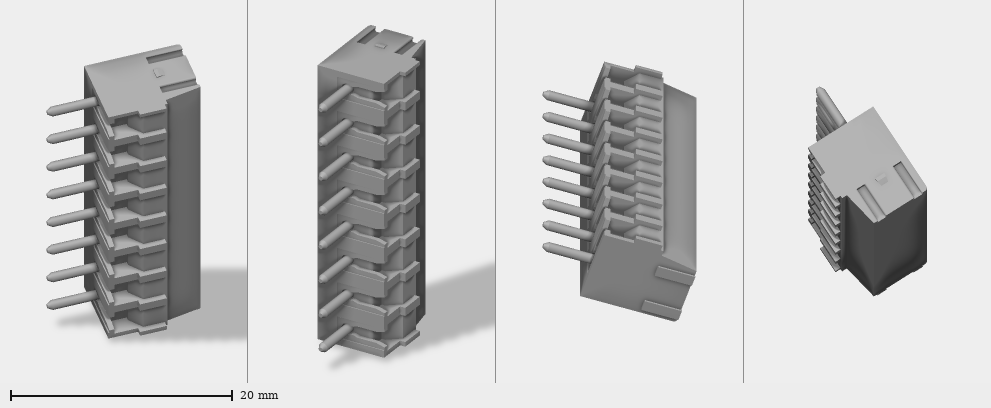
import cadquery as cq
import math

poles = 8
body_width = 7.0
body_depth = 9.15
body_height = 28.0
pitch = body_height / poles
first_pole_z = 1.8

shoulder_y = 5.63
shoulder_x = 6.5
rear_width = 5.85
rear_edge_radius = 0.35

pin_x = 3.03
pin_radius = 0.45
pin_length = 4.52
pin_tip_length = 0.45
pin_tip_radius = 0.2
pin_root_y = 1.03

recess_left_x = 2.1
recess_height = 2.17
recess_depth = 0.1

plate_thickness = 0.57
pin_clearance_radius = 0.57
throat_half = 0.43
throat_end_x = 3.72
channel_half = 0.57
channel_start_x = 4.15
flare_start_x = 6.15
flare_half = 0.8

cavity_edge_x = 5.05
cavity_edge_radius = 0.31
cavity_wall = 0.83
cavity_height = pitch - cavity_wall
cavity_ledge_width = 0.37
cavity_floor_y = 2.3
cavity_floor_angle = 40

nub_projection = 0.55
nub_front_y = 2.83
nub_rear_y = 5.37

left_track_x = 1.1
right_track_x = 5.0
track_length = body_depth - shoulder_y
rail_height = 0.45
rail_flank_height = 0.25
rail_neck_width = 0.63
rail_tip_width = 1.0
groove_neck_width = 0.8
groove_depth = 0.55
groove_lip = 0.17
groove_outer_lip = 0.1
groove_undercut = 0.11

latch_front_y = 5.75
latch_ridge_y = 6.1
latch_rear_y = 6.6
latch_front_width = 1.03
latch_rear_width = 0.75
latch_height = 0.11

pole_heights = [first_pole_z + i * pitch for i in range(poles)]


def make_body():
    """Housing block with a slanted rear flank and one rounded rear edge."""
    return (
        cq.Workplane("XY")
        .moveTo(0, 0)
        .lineTo(body_width, 0)
        .lineTo(body_width, shoulder_y)
        .lineTo(shoulder_x, shoulder_y)
        .lineTo(rear_width, body_depth)
        .lineTo(rear_edge_radius, body_depth)
        .radiusArc((0, body_depth - rear_edge_radius), -rear_edge_radius)
        .close()
        .extrude(body_height)
    )


def make_nubs():
    """Nubs centred between the poles, cut off flush at both body ends."""
    nub_depth = nub_rear_y - nub_front_y
    nubs = cq.Workplane("XY")
    for i in range(poles + 1):
        middle_z = first_pole_z + (i - 0.5) * pitch
        low = max(middle_z - cavity_wall / 2, 0)
        high = min(middle_z + cavity_wall / 2, body_height)
        nub = cq.Workplane("XY").box(nub_projection, nub_depth, high - low, centered=False)
        nubs = nubs.add(nub.translate((body_width, nub_front_y, low)))
    return nubs.combine()


def front_plane(depth=0.0):
    """Sketch plane parallel to the front face; extrusions run towards +Y."""
    return cq.Workplane(cq.Plane((0, depth, 0), xDir=(1, 0, 0), normal=(0, -1, 0)))


def make_recess():
    """Shallow rectangular recess around a pole at height zero."""
    width = body_width - recess_left_x
    middle_x = recess_left_x + width / 2
    return front_plane().center(middle_x, 0).rect(width, recess_height).extrude(-recess_depth)


def make_funnel():
    """Opening in the front plate, widening from the pin towards the +X side."""
    upper_edge = [
        (pin_x, throat_half),
        (throat_end_x, throat_half),
        (channel_start_x, channel_half),
        (flare_start_x, channel_half),
        (body_width, flare_half),
    ]
    lower_edge = [(x, -z) for x, z in reversed(upper_edge)]
    channel = front_plane().polyline(upper_edge + lower_edge).close().extrude(-plate_thickness)
    pin_clearance = front_plane().center(pin_x, 0).circle(pin_clearance_radius).extrude(-plate_thickness)
    return channel.union(pin_clearance)


def make_cavity():
    """Side cavity with a rounded entry edge, a flat ledge and a sloping floor."""
    wall_x = cavity_edge_x + cavity_edge_radius
    ledge_end_x = wall_x + cavity_ledge_width
    floor_rise = (body_width - ledge_end_x) * math.tan(math.radians(cavity_floor_angle))
    return (
        cq.Workplane("XY")
        .workplane(offset=-cavity_height / 2)
        .moveTo(cavity_edge_x, plate_thickness)
        .radiusArc((wall_x, plate_thickness + cavity_edge_radius), -cavity_edge_radius)
        .lineTo(wall_x, cavity_floor_y)
        .lineTo(ledge_end_x, cavity_floor_y)
        .lineTo(body_width, cavity_floor_y + floor_rise)
        .lineTo(body_width, plate_thickness)
        .close()
        .extrude(cavity_height)
    )


def make_pin():
    """Round pin with a conical tip, rooted in the floor behind the front plate."""
    shank_end = -(pin_length - pin_tip_length)
    return (
        cq.Workplane("XY")
        .moveTo(0, pin_root_y)
        .lineTo(pin_radius, pin_root_y)
        .lineTo(pin_radius, shank_end)
        .lineTo(pin_tip_radius, -pin_length)
        .lineTo(0, -pin_length)
        .close()
        .revolve(360, (0, 0, 0), (0, 1, 0))
        .translate((pin_x, 0, 0))
    )


def make_rail(center_x):
    """Dovetail rail hanging below the bottom end, wider at its tip."""
    neck = rail_neck_width / 2
    tip = rail_tip_width / 2
    outline = [
        (-neck, 0),
        (neck, 0),
        (tip, -rail_flank_height),
        (tip, -rail_height),
        (-tip, -rail_height),
        (-tip, -rail_flank_height),
    ]
    return front_plane(shoulder_y).center(center_x, 0).polyline(outline).close().extrude(-track_length)


def make_groove(center_x, left_lip, right_lip):
    """Groove in the top end with rounded lips and undercut round flanks."""
    neck = groove_neck_width / 2
    bulge_x = neck + groove_undercut
    return (
        front_plane(shoulder_y)
        .center(center_x, body_height)
        .moveTo(-neck - left_lip, 0)
        .lineTo(neck + right_lip, 0)
        .radiusArc((neck, -right_lip), -right_lip)
        .threePointArc((bulge_x, -(groove_depth + right_lip) / 2), (neck, -groove_depth))
        .lineTo(-neck, -groove_depth)
        .threePointArc((-bulge_x, -(groove_depth + left_lip) / 2), (-neck, -left_lip))
        .radiusArc((-neck - left_lip, 0), -left_lip)
        .close()
        .extrude(-track_length)
    )


def make_latch():
    """Small wedge on the top end: flat at the front, sloping down to the rear."""
    outline = [
        (pin_x - latch_front_width / 2, latch_front_y),
        (pin_x + latch_front_width / 2, latch_front_y),
        (pin_x + latch_rear_width / 2, latch_rear_y),
        (pin_x - latch_rear_width / 2, latch_rear_y),
    ]
    block = cq.Workplane("XY").polyline(outline).close().extrude(latch_height)
    side_profile = [
        (latch_front_y, 0),
        (latch_front_y, latch_height),
        (latch_ridge_y, latch_height),
        (latch_rear_y, 0),
    ]
    wedge = cq.Workplane("YZ").polyline(side_profile).close().extrude(body_width)
    return block.intersect(wedge).translate((0, 0, body_height))


result = make_body().union(make_nubs())

pole_cut = make_recess().union(make_funnel()).union(make_cavity())
pin = make_pin()
for z in pole_heights:
    result = result.cut(pole_cut.translate((0, 0, z))).union(pin.translate((0, 0, z)))

result = result.union(make_rail(left_track_x)).union(make_rail(right_track_x))
result = result.cut(make_groove(left_track_x, groove_outer_lip, groove_lip))
result = result.cut(make_groove(right_track_x, groove_lip, groove_lip))
result = result.union(make_latch())